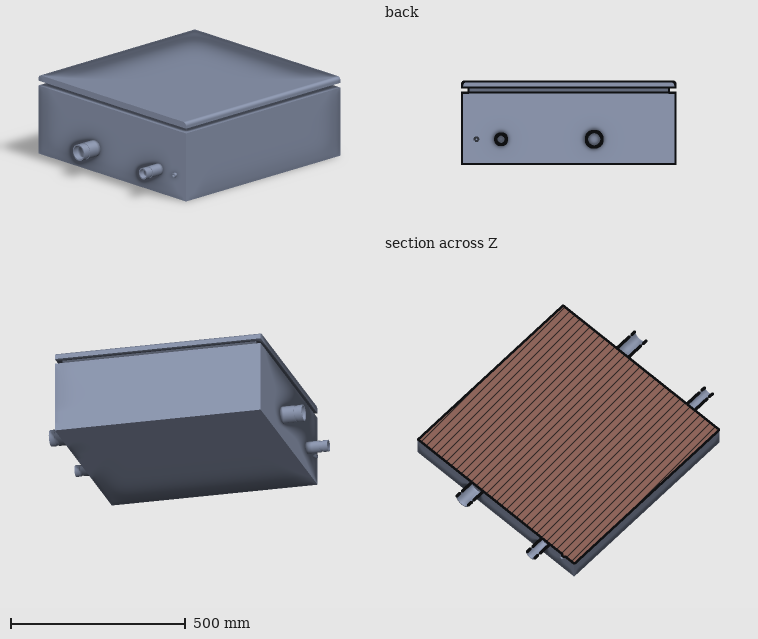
import cadquery as cq

side = 610.0
body_height = 204.5
neck_height = 14.0
neck_inset = 18.0
lid_height = 18.0
lid_edge_radius = 10.5
lid_bottom = body_height + neck_height
front_y = -side / 2
back_y = side / 2

pipe_level = 71.0
front_pipe_length = 64.0
back_pipe_length = 76.0
groove_offset = 16.0
groove_width = 7.5
large_pipe = {"x": -73.0, "outer": 48.0, "groove": 45.0, "bore": 41.0}
small_pipe = {"x": 193.0, "outer": 34.0, "groove": 30.0, "bore": 27.0}

pin_x = 264.0
pin_length = 10.5
pin_diameter = 9.0
pin_head_diameter = 13.5
pin_head_length = 7.0
pin_bore_diameter = 8.0


def slab(width, height, bottom):
    """Square plate resting at the given level."""
    return cq.Workplane("XY").workplane(offset=bottom).rect(width, width).extrude(height)


def rod(x, y, diameter, length, direction):
    """Cylinder along Y, starting at y; direction is +1 or -1."""
    start = cq.Vector(x, y, pipe_level)
    solid = cq.Solid.makeCylinder(diameter / 2, length, start, cq.Vector(0, direction, 0))
    return cq.Workplane(obj=solid)


def grooved_pipe(pipe, wall_y, length, direction):
    """Open pipe with a ring groove near its end, bored back to the wall."""
    x = pipe["x"]
    inner_land = length - groove_offset - groove_width
    end_land_start = wall_y + direction * (length - groove_offset)
    stub = rod(x, wall_y, pipe["groove"], length, direction)
    stub = stub.union(rod(x, wall_y, pipe["outer"], inner_land, direction))
    stub = stub.union(rod(x, end_land_start, pipe["outer"], groove_offset, direction))
    return stub.cut(rod(x, wall_y, pipe["bore"], length, direction))


def headed_pin():
    """Hollow pin with a wider head at its free end."""
    head_start = front_y - (pin_length - pin_head_length)
    pin = rod(pin_x, front_y, pin_diameter, pin_length, -1)
    pin = pin.union(rod(pin_x, head_start, pin_head_diameter, pin_head_length, -1))
    return pin.cut(rod(pin_x, head_start, pin_bore_diameter, pin_head_length, -1))


lid = slab(side, lid_height, lid_bottom).faces(">Z").edges("|Y").fillet(lid_edge_radius)
neck = slab(side - 2 * neck_inset, neck_height, body_height)
result = slab(side, body_height, 0).union(neck).union(lid)

for pipe in (large_pipe, small_pipe):
    result = result.union(grooved_pipe(pipe, front_y, front_pipe_length, -1))
    result = result.union(grooved_pipe(pipe, back_y, back_pipe_length, 1))

result = result.union(headed_pin())